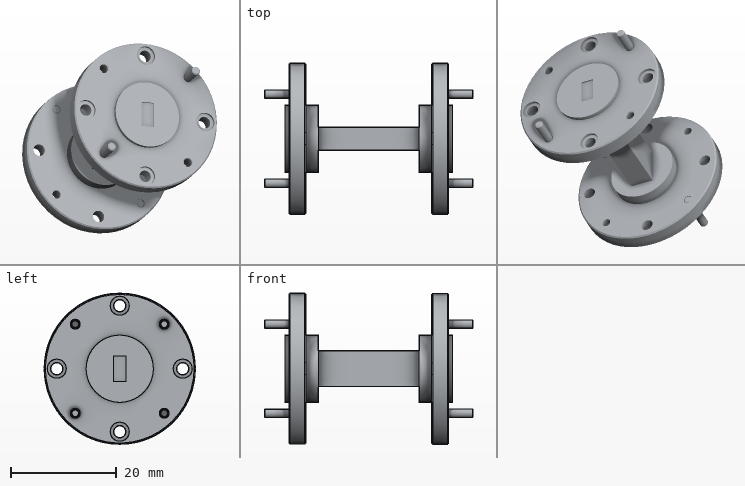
import cadquery as cq
import math

length = 31.75
flange_diameter = 28.575
flange_thickness = 3.2
flange_chamfer = 0.25
boss_diameter = 12.7
boss_length = 6.35
boss_step = 0.78
bar_width = 4.4
bar_height = 6.8

window_width = 2.39
window_height = 4.78
window_depth = 0.28

pitch_radius = 23.81 / 2
screw_hole_diameter = 2.26
counterbore_diameter = 3.6
counterbore_depth = 0.5
dowel_diameter = 1.61
dowel_hole_chamfer = 0.13
dowel_chamfer = 0.18
overall_length = 39.5

mating_x = length / 2
flange_outer_x = mating_x - boss_step
flange_inner_x = flange_outer_x - flange_thickness
dowel_length = overall_length / 2 - flange_inner_x

screw_angles = [0, 90, 180, 270]
dowel_hole_angles = [45, 135, 225, 315]
dowel_angles = {-1: [135, 315], 1: [45, 225]}


def pitch_point(angle):
    """Y and Z of a hole centre, with the angle measured from +Y towards +Z."""
    return (
        pitch_radius * math.cos(math.radians(angle)),
        pitch_radius * math.sin(math.radians(angle)),
    )


def cylinder(diameter, depth, x, direction, centre=(0, 0)):
    """Cylinder along X that starts at x and runs towards the given direction."""
    start = cq.Vector(x, *centre)
    axis = cq.Vector(direction, 0, 0)
    return cq.Workplane(cq.Solid.makeCylinder(diameter / 2, depth, start, axis))


def dowel_hole(end, centre):
    """Through hole with a chamfered mouth on the outer flange face."""
    outer_x = end * flange_outer_x
    hole = cylinder(dowel_diameter, flange_thickness, outer_x, -end, centre)
    mouth = cq.Solid.makeCone(
        dowel_diameter / 2 + dowel_hole_chamfer,
        dowel_diameter / 2,
        dowel_hole_chamfer,
        cq.Vector(outer_x, *centre),
        cq.Vector(-end, 0, 0),
    )
    return hole.union(cq.Workplane(mouth))


def screw_hole(end, centre):
    """Through hole, counterbored from the outer flange face."""
    outer_x = end * flange_outer_x
    hole = cylinder(screw_hole_diameter, flange_thickness, outer_x, -end, centre)
    return hole.union(cylinder(counterbore_diameter, counterbore_depth, outer_x, -end, centre))


def make_flange(end):
    """One drilled flange with its boss and waveguide window."""
    flange = cylinder(flange_diameter, flange_thickness, end * flange_outer_x, -end)
    flange = flange.edges("%CIRCLE").chamfer(flange_chamfer)
    flange = flange.union(cylinder(boss_diameter, boss_length, end * mating_x, -end))
    for angle in screw_angles:
        flange = flange.cut(screw_hole(end, pitch_point(angle)))
    for angle in dowel_hole_angles:
        flange = flange.cut(dowel_hole(end, pitch_point(angle)))
    window = cq.Workplane().box(window_depth, window_width, window_height)
    return flange.cut(window.translate((end * (mating_x - window_depth / 2), 0, 0)))


def make_waveguide():
    """Bar joined to a flange at each end."""
    bar_length = length - 2 * boss_length
    waveguide = cq.Workplane().box(bar_length, bar_width, bar_height)
    for end in (-1, 1):
        waveguide = waveguide.union(make_flange(end))
    return waveguide.solids()


def make_dowel(end, angle):
    """Dowel flush with the inner flange face, chamfered at both ends."""
    dowel = cylinder(dowel_diameter, dowel_length, end * flange_inner_x, end, pitch_point(angle))
    return dowel.edges("%CIRCLE").chamfer(dowel_chamfer).solids()


waveguide = make_waveguide()
dowels = [make_dowel(end, angle) for end in (-1, 1) for angle in dowel_angles[end]]

result = cq.Compound.makeCompound([waveguide.val(), *[dowel.val() for dowel in dowels]])